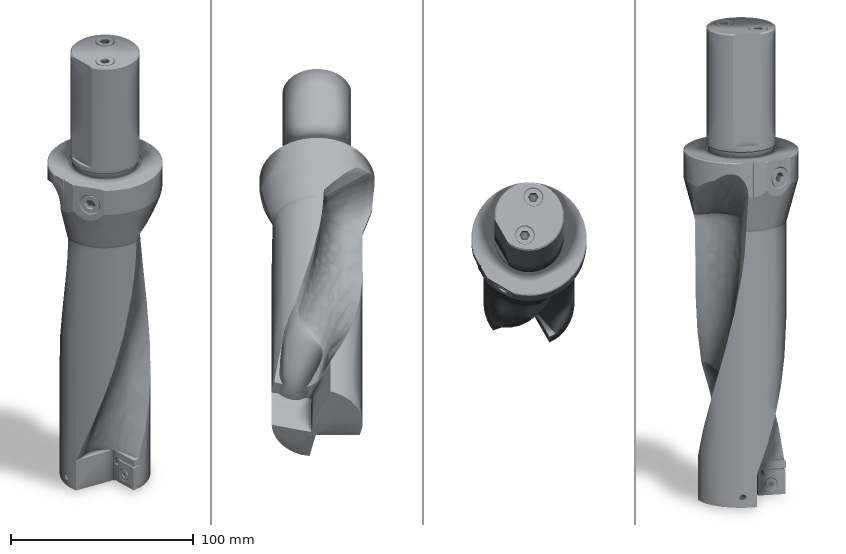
import cadquery as cq
import math

total_height = 267.5
shank_radius = 19.0
shank_chamfer = 0.8
shank_flat_y = -17.0
shank_flat_bottom = 203.8
neck_radius = 18.2
neck_top = 200.4
undercut_radius = 20.0
undercut_depth = 0.5
flange_radius = 31.5
flange_top = 198.0
flange_bottom = 182.2
flange_edge = 0.5
cone_bottom = 159.0
cone_bottom_radius = 25.5
body_top = 157.3
body_radius = 25.0
rim_height = 1.0

flange_flat_distance = 30.5
plug_flat_distance = 30.2
plug_flat_turn = 30
groove_width = 0.8
groove_depth = 0.5
groove_bottom = 177.5

flute_wall_x = -2.7
flute_lip_y = 2.1
flute_floor_end = (-20.3, 1.3)
flute_radius = 14.2
flute_reach = 32.0
flute_bottom = 19.8
flute_length = body_top - flute_bottom
flute_twist = 84.0
flute_twist_power = 1.6
flute_steps = 10
flute_turns = (0, 186)
runout_bottom = 161.5
runout_travel = 37.5
runout_lip_rise = 9.0

inner_pocket_top = 25.5
inner_wall_x = 6.2
inner_wall_straight = 14.0
inner_wall_overhang = 1.5
inner_floor_y = 2.1
inner_rim_y = -2.5
scoop_radius = 11.8
scoop_start = (1.5, 12.8, 34.0)
scoop_end = (-26.8, 6.7, 72.2)

seat_y = -1.0
seat_wall_x = 7.8
seat_rim_x = 3.5
seat_top = flute_bottom
insert_left = 9.4
insert_right = 24.5
insert_bottom = 1.0
insert_top = 15.0
insert_thickness = 4.8
insert_gap = 0.8
corner_relief = (10.5, 13.5)
corner_relief_radius = 2.1
corner_relief_depth = 6.0

screw_place = (16.5, 7.2)
screw_head_radius = 3.2
screw_head_height = 2.1
screw_shank_radius = 2.0
screw_length = 10.7
screw_socket_width = 3.2
screw_socket_depth = 1.3
screw_rim = 0.5

top_plug_places = ((-8.0, 7.2), (8.0, -7.2))
top_plug_radius = 4.8
side_plug_radius = 5.4
side_plug_height = 187.2
side_plug_shift = 1.0
plug_length = 9.4
plug_rim = 0.8
plug_socket_ratio = 1.2
plug_socket_depth = 4.0
outlet_place = (-4.3, 6.7)
outlet_radius = 2.0
outlet_depth = 8.0


def turned_blank():
    outline = [
        (0, 0),
        (body_radius, rim_height),
        (body_radius, body_top),
        (cone_bottom_radius, cone_bottom),
        (flange_radius, flange_bottom),
        (flange_radius, flange_top - flange_edge),
        (flange_radius - flange_edge, flange_top),
        (undercut_radius, flange_top),
        (undercut_radius, flange_top - undercut_depth),
        (neck_radius, flange_top - undercut_depth),
        (neck_radius, neck_top),
        (shank_radius, neck_top + shank_radius - neck_radius),
        (shank_radius, total_height - shank_chamfer),
        (shank_radius - shank_chamfer, total_height),
        (0, total_height),
    ]
    return cq.Workplane("XZ").polyline(outline).close().revolve(360, (0, 0), (0, 1))


def block(x_range, y_range, z_range):
    size = [high - low for low, high in (x_range, y_range, z_range)]
    return cq.Workplane("XY").box(*size, centered=False).translate((x_range[0], y_range[0], z_range[0]))


def shank_flat():
    return block(
        (-shank_radius, shank_radius),
        (-shank_radius * 2, shank_flat_y),
        (shank_flat_bottom, total_height),
    )


def flange_flats():
    def flat(distance, turn):
        side = block(
            (-flange_radius, flange_radius),
            (-flange_radius * 2, -distance),
            (body_top, flange_top),
        )
        return side.rotate((0, 0, 0), (0, 0, 1), turn)

    return flat(flange_flat_distance, 0).union(flat(plug_flat_distance, plug_flat_turn))


def index_groove():
    return block(
        (-groove_width / 2, groove_width / 2),
        (-flange_radius, groove_depth - flange_flat_distance),
        (groove_bottom, flange_top),
    )


def flute_section(z, shift_y=0.0, lip_rise=0.0):
    """Closed flute outline at height z, turned by the twist that belongs to it."""
    floor_x, floor_y = flute_floor_end
    centre_x = flute_wall_x - flute_radius
    centre_y = floor_y - math.sqrt(flute_radius**2 - (floor_x - centre_x) ** 2)
    middle = math.atan2(floor_y - centre_y, floor_x - centre_x) / 2
    arc_middle = (
        centre_x + flute_radius * math.cos(middle),
        centre_y + flute_radius * math.sin(middle),
    )
    below_top = max(body_top - z, 0.0) / flute_length
    turn = math.radians(flute_twist * below_top**flute_twist_power)

    def place(x, y):
        y += shift_y
        return cq.Vector(
            x * math.cos(turn) + y * math.sin(turn),
            y * math.cos(turn) - x * math.sin(turn),
            z,
        )

    lip = place(-flute_reach, flute_lip_y + lip_rise)
    floor_end = place(floor_x, floor_y)
    wall_start = place(flute_wall_x, centre_y)
    wall_end = place(flute_wall_x, -flute_reach)
    outside = place(-flute_reach, -flute_reach)
    edges = [
        cq.Edge.makeLine(lip, floor_end),
        cq.Edge.makeThreePointArc(floor_end, place(*arc_middle), wall_start),
        cq.Edge.makeLine(wall_start, wall_end),
        cq.Edge.makeLine(wall_end, outside),
        cq.Edge.makeLine(outside, lip),
    ]
    return cq.Wire.assembleEdges(edges)


def flute():
    step = flute_length / flute_steps
    twisted_sections = [flute_section(flute_bottom + step * i) for i in range(flute_steps + 1)]
    twisted = cq.Solid.makeLoft(twisted_sections)
    straight = cq.Solid.makeLoft([flute_section(body_top), flute_section(runout_bottom)], True)
    leaving = flute_section(runout_bottom + runout_travel, -runout_travel, runout_lip_rise)
    runout = cq.Solid.makeLoft([flute_section(runout_bottom), leaving], True)
    return twisted, straight, runout


def inner_pocket():
    outline = [
        (inner_wall_x, inner_floor_y),
        (inner_wall_x, flute_reach),
        (-body_radius, flute_reach),
        (-body_radius, inner_rim_y),
        (0, inner_floor_y),
    ]
    pocket = cq.Workplane("XY").polyline(outline).close().extrude(inner_pocket_top)
    return pocket.cut(inner_wall_bulge())


def inner_wall_bulge():
    top_x = inner_wall_x - inner_wall_overhang
    height = inner_pocket_top - inner_wall_straight
    bulge_radius = -(height**2 + inner_wall_overhang**2) / (2 * inner_wall_overhang)
    bulge = (
        cq.Workplane("XZ")
        .moveTo(inner_wall_x, inner_pocket_top)
        .lineTo(inner_wall_x, inner_wall_straight)
        .radiusArc((top_x, inner_pocket_top), bulge_radius)
        .close()
    )
    return bulge.extrude(-flute_reach)


def inner_scoop():
    start = cq.Vector(*scoop_start)
    axis = cq.Vector(*scoop_end) - start
    ball = cq.Workplane("XY").sphere(scoop_radius).translate(scoop_start)
    channel = cq.Solid.makeCylinder(scoop_radius, axis.Length, start, axis)
    return ball.union(cq.Workplane(channel))


def outer_pocket():
    outline = [
        (seat_wall_x, seat_y),
        (seat_rim_x, -body_radius),
        (flute_reach, -body_radius),
        (flute_reach, seat_y),
    ]
    return cq.Workplane("XY").polyline(outline).close().extrude(seat_top)


def insert_recess():
    recess = block(
        (insert_left - insert_gap, flute_reach),
        (seat_y, seat_y + insert_thickness),
        (0, insert_top + insert_gap),
    )
    return recess.union(corner_relief_hole())


def drilled(place, radius, start_y, depth):
    """Cylinder along +Y that starts at start_y, at an (x, z) place."""
    x, z = place
    return cq.Workplane(cq.Solid.makeCylinder(radius, depth, cq.Vector(x, start_y, z), cq.Vector(0, 1, 0)))


def corner_relief_hole():
    return drilled(corner_relief, corner_relief_radius, seat_y, corner_relief_depth)


def screw_shape():
    head = drilled(screw_place, screw_head_radius, seat_y, screw_head_height)
    return head.union(drilled(screw_place, screw_shank_radius, seat_y, screw_length))


def make_insert():
    plate = block(
        (insert_left, insert_right),
        (seat_y, seat_y + insert_thickness),
        (insert_bottom, insert_top),
    )
    x, z = screw_place
    rim = cq.Solid.makeCone(
        screw_head_radius + screw_rim, screw_head_radius, screw_rim,
        cq.Vector(x, seat_y, z), cq.Vector(0, 1, 0),
    )
    return plate.cut(corner_relief_hole()).cut(screw_shape()).cut(cq.Workplane(rim))


def make_screw():
    x, z = screw_place
    socket = (
        cq.Workplane("XZ", origin=(x, seat_y, z))
        .polygon(6, screw_socket_width)
        .extrude(-screw_socket_depth)
    )
    return screw_shape().cut(socket)


def make_plug(plane, radius):
    plug = cq.Workplane(plane).circle(radius).extrude(-plug_length)
    socket = cq.Workplane(plane).polygon(6, plug_socket_ratio * radius).extrude(-plug_socket_depth)
    return plug.cut(socket)


def plug_hole(plane, radius):
    hole = cq.Workplane(plane).circle(radius).extrude(-plug_length)
    rim = cq.Solid.makeCone(radius + plug_rim, radius, plug_rim, plane.origin, plane.zDir * -1)
    return hole.union(cq.Workplane(rim))


def side_plug_plane():
    turn = math.radians(plug_flat_turn)
    outward = cq.Vector(math.sin(turn), -math.cos(turn), 0)
    along = cq.Vector(math.cos(turn), math.sin(turn), 0)
    middle = outward * plug_flat_distance + along * side_plug_shift
    return cq.Plane(middle + cq.Vector(0, 0, side_plug_height), along, outward)


plug_seats = [
    (cq.Plane((x, y, total_height), (1, 0, 0), (0, 0, 1)), top_plug_radius)
    for x, y in top_plug_places
]
plug_seats.append((side_plug_plane(), side_plug_radius))


def make_drill_body():
    body = turned_blank()
    body = body.cut(shank_flat()).cut(flange_flats()).cut(index_groove())
    for turn in flute_turns:
        for piece in flute():
            body = body.cut(cq.Workplane(piece.rotate(cq.Vector(0, 0, 0), cq.Vector(0, 0, 1), turn)))
    body = body.cut(inner_pocket()).cut(inner_scoop())
    body = body.cut(outer_pocket()).cut(insert_recess()).cut(screw_shape())
    body = body.cut(drilled(outlet_place, outlet_radius, -body_radius, outlet_depth))
    for plane, radius in plug_seats:
        body = body.cut(plug_hole(plane, radius))
    return body


drill_body = make_drill_body()
insert = make_insert()
insert_screw = make_screw()
plugs = [make_plug(plane, radius) for plane, radius in plug_seats]

result = cq.Compound.makeCompound(
    [*drill_body.vals(), insert.val(), insert_screw.val(), *[plug.val() for plug in plugs]]
)